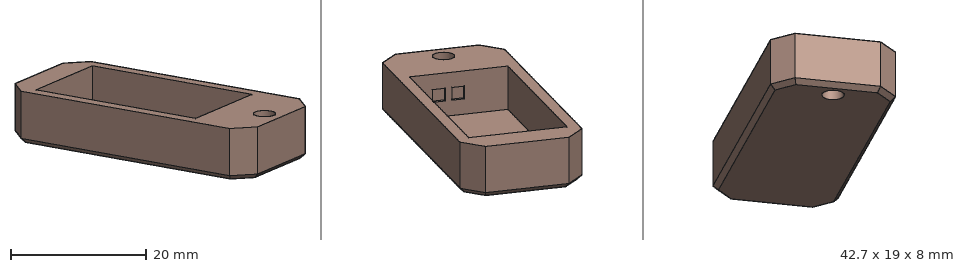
import cadquery as cq

length = 42.7
width = 19.0
height = 8.0
corner_chamfer = 3.0
bottom_chamfer = 0.75

end_wall = 4.45
side_wall = 1.85
pocket_length = 28.1
pocket_depth = 6.8
pocket_width = width - 2 * side_wall
pocket_end_x = end_wall + pocket_length

hole_diameter = 3.3
hole_end_distance = 3.0
hole_x = length - hole_end_distance

recess_size = 2.0
recess_depth = 0.5
recess_pitch = 3.0
recess_top_gap = (pocket_depth - recess_size) / 2
first_recess_y = 3.05
recess_count = 2


def make_body():
    """Block with cut vertical corners and a chamfered bottom rim."""
    block = cq.Workplane("XY").box(length, width, height, centered=(False, True, False))
    block = block.edges("|Z").chamfer(corner_chamfer)
    return block.faces("<Z").edges().chamfer(bottom_chamfer)


def make_pocket():
    """Volume removed for the open-topped pocket."""
    pocket = cq.Workplane("XY").box(
        pocket_length, pocket_width, pocket_depth, centered=(False, True, False)
    )
    return pocket.translate((end_wall, 0, height - pocket_depth))


def make_hole():
    """Cylinder removed for the through hole."""
    return cq.Workplane("XY").center(hole_x, 0).circle(hole_diameter / 2).extrude(height)


def make_recess(center_y):
    """Square recess sunk into the pocket's end wall at the given Y."""
    recess = cq.Workplane("XY").box(
        recess_depth, recess_size, recess_size, centered=(False, True, False)
    )
    return recess.translate((pocket_end_x, center_y, height - recess_top_gap - recess_size))


result = make_body().cut(make_pocket()).cut(make_hole())
for index in range(recess_count):
    result = result.cut(make_recess(first_recess_y - index * recess_pitch))